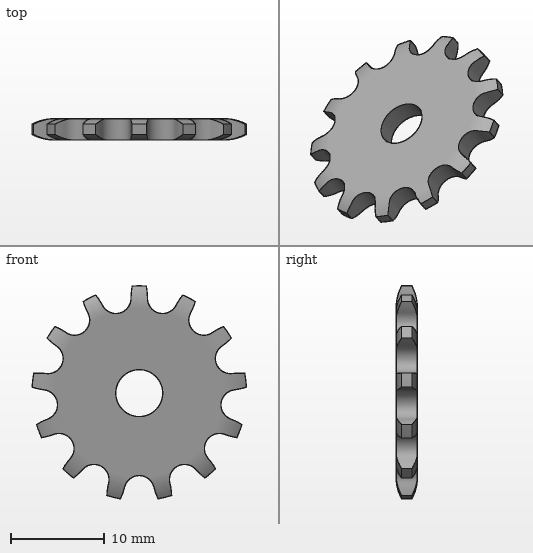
import cadquery as cq
import math

tooth_count = 13
tip_radius = 11.5
root_radius = 8.85
seat_radius = 1.6
bore_diameter = 5.0
thickness = 2.3
tip_thickness = 1.1
side_arc_radius = 5.0
tip_half_width = 0.75
cut_clearance = 1.15

tooth_angle = 360 / tooth_count
half_angle = math.radians(tooth_angle / 2)


def make_blank():
    """Bored disc whose rim is rounded on both sides, revolved about Y."""
    half = thickness / 2
    half_tip = tip_thickness / 2
    side_drop = half - half_tip
    side_length = math.sqrt(side_arc_radius**2 - (side_arc_radius - side_drop) ** 2)
    face_radius = tip_radius - side_length
    bore_radius = bore_diameter / 2
    return (
        cq.Workplane("XY")
        .moveTo(bore_radius, -half)
        .lineTo(face_radius, -half)
        .tangentArcPoint((tip_radius, -half_tip), relative=False)
        .lineTo(tip_radius, half_tip)
        .radiusArc((face_radius, half), -side_arc_radius)
        .lineTo(bore_radius, half)
        .close()
        .revolve(360, (0, 0, 0), (0, 1, 0))
    )


def make_gap():
    """Cutter for one tooth gap, centred on +Z: roller seat and curved flanks."""
    seat_center = root_radius + seat_radius
    sin_half = math.sin(half_angle)
    cos_half = math.cos(half_angle)

    seat_end_x = seat_radius * cos_half
    seat_end_z = seat_center - seat_radius * sin_half

    tip_height = math.sqrt(tip_radius**2 - tip_half_width**2)
    corner_x = tip_height * sin_half - tip_half_width * cos_half
    corner_z = tip_height * cos_half + tip_half_width * sin_half
    top = tip_radius + cut_clearance

    dx = corner_x - seat_end_x
    dz = corner_z - seat_end_z
    flank_offset = dx * cos_half - dz * sin_half
    flank_radius = (dx**2 + dz**2) / (2 * flank_offset)

    return (
        cq.Workplane("XZ")
        .moveTo(-corner_x, corner_z)
        .radiusArc((-seat_end_x, seat_end_z), flank_radius)
        .threePointArc((0, root_radius), (seat_end_x, seat_end_z))
        .radiusArc((corner_x, corner_z), flank_radius)
        .lineTo(corner_x, top)
        .lineTo(-corner_x, top)
        .close()
        .extrude(thickness, both=True)
    )


result = make_blank()
gap = make_gap()
for index in range(tooth_count):
    gap_angle = (index + 0.5) * tooth_angle
    result = result.cut(gap.rotate((0, 0, 0), (0, 1, 0), gap_angle))